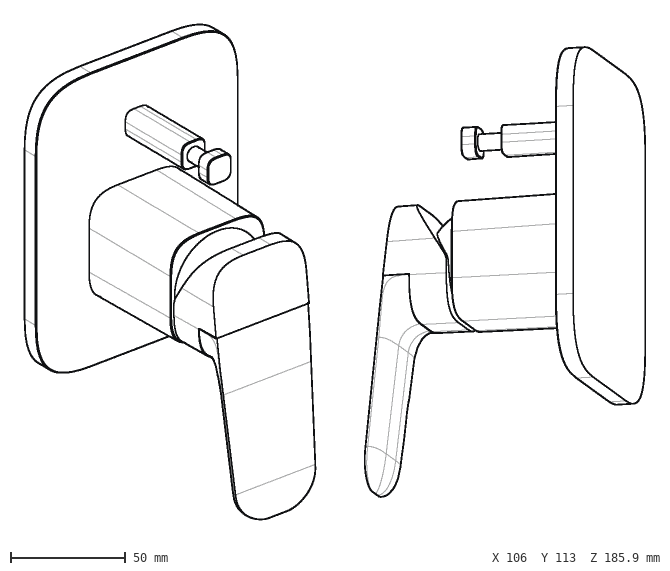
import cadquery as cq
import math


CORNER_PULL = 0.73

PLATE_THICKNESS = 8.0
PLATE_WIDTH = 113.0
PLATE_HEIGHT = 145.3
PLATE_CORNER = 30.8
PLATE_RISE = 14.5

BODY_END = 64.0
BODY_BASE_SIZE = 53.7
BODY_END_SIZE = 52.5
BODY_CORNER = 16.0
BALL_CENTRE = 55.8
BALL_RADIUS = 25.5

BUTTON_RISE = 54.8
BUTTON_SIZE = 13.2
BUTTON_CORNER = 4.8
SLEEVE_END = 47.2
STEM_DIAMETER = 7.5
HEAD_START = 58.5
HEAD_END = 65.2

HUB_START = 66.2
HUB_BACK_SIZE = 52.5
HUB_FRONT_SIZE = 51.7
HANDLE_FLAT = 14.9
HUB_SLANT_TOP = 83.0
HUB_SLANT_BOTTOM = -0.5
HUB_SLANT_BLEND = 7.5

LEVER_TIP_X = 106
LEVER_TIP_Z = -98.7
LEVER_LEAN = 6.8
LEVER_THICKNESS = 5.0
LEVER_EDGE = 1.0
LEVER_TOP_WIDTH = 49.0
LEVER_BOTTOM_WIDTH = 44.6
TIP_LENGTH = 16.7
TIP_FLAT = 11.2
TIP_EDGE = 0.5
TIP_SECTIONS = 7

BEND_RADIUS = 10.2
BEND_SECTIONS = 6

EDGE_BREAK = 0.4

lean = math.radians(LEVER_LEAN)
hub_front_half = HUB_FRONT_SIZE / 2
flat_half = HANDLE_FLAT / 2
hub_corner = hub_front_half - flat_half


def front_x(z):
    """X of the lever's front face at height z."""
    return LEVER_TIP_X - math.tan(lean) * (z - LEVER_TIP_Z)


bend_z = -hub_front_half - BEND_RADIUS
bend_x = front_x(bend_z) - (BEND_RADIUS + LEVER_THICKNESS) / math.cos(lean)
lever_angle = math.pi / 2 - lean
tip_back = BEND_RADIUS + LEVER_THICKNESS - TIP_EDGE
lever_length = (bend_z + tip_back * math.sin(lean) - LEVER_TIP_Z) / math.cos(lean)
blade_length = lever_length - TIP_LENGTH


def smooth_corner(sketch, start, corner, end):
    """Curve from start to end that leaves and arrives along the sides of the corner."""
    first = tuple(s + CORNER_PULL * (c - s) for s, c in zip(start, corner))
    second = tuple(e + CORNER_PULL * (c - e) for e, c in zip(end, corner))
    return sketch.bezier([start, first, second, end])


def smooth_rectangle(plane, width, height, corner):
    """Rectangle with smooth corners, centred on the plane's origin."""
    w = width / 2
    h = height / 2
    sketch = plane.moveTo(corner - w, -h).lineTo(w - corner, -h)
    sketch = smooth_corner(sketch, (w - corner, -h), (w, -h), (w, corner - h))
    sketch = sketch.lineTo(w, h - corner)
    sketch = smooth_corner(sketch, (w, h - corner), (w, h), (w - corner, h))
    sketch = sketch.lineTo(corner - w, h)
    sketch = smooth_corner(sketch, (corner - w, h), (-w, h), (-w, h - corner))
    sketch = sketch.lineTo(-w, corner - h)
    sketch = smooth_corner(sketch, (-w, corner - h), (-w, -h), (corner - w, -h))
    return sketch.close()


def wall_plane(x, z=0):
    """Plane parallel to the wall, with local axes Y and Z."""
    return cq.Workplane("YZ", origin=(x, 0, z))


def tapered_block(start, end, start_size, end_size, corner):
    """Square block with smooth corners, changing size along X."""
    sections = smooth_rectangle(wall_plane(start), start_size, start_size, corner)
    sections = sections.workplane(offset=end - start)
    return smooth_rectangle(sections, end_size, end_size, corner).loft(ruled=True)


def make_plate():
    plane = wall_plane(0, PLATE_RISE)
    plate = smooth_rectangle(plane, PLATE_WIDTH, PLATE_HEIGHT, PLATE_CORNER).extrude(PLATE_THICKNESS)
    return plate.faces(">X").chamfer(EDGE_BREAK)


def make_body():
    body = tapered_block(PLATE_THICKNESS, BODY_END, BODY_BASE_SIZE, BODY_END_SIZE, BODY_CORNER)
    body = body.faces(">X").chamfer(EDGE_BREAK)
    dome_radius = math.sqrt(BALL_RADIUS**2 - (BODY_END - BALL_CENTRE) ** 2)
    dome_tip = BALL_CENTRE + BALL_RADIUS
    middle = BALL_RADIUS * math.sqrt(0.5)
    dome = (
        cq.Workplane("XY")
        .moveTo(BODY_END, 0)
        .lineTo(BODY_END, dome_radius)
        .threePointArc((BALL_CENTRE + middle, middle), (dome_tip, 0))
        .close()
        .revolve(360, (0, 0, 0), (1, 0, 0))
    )
    return body.union(dome)


def button_block(start, end):
    plane = wall_plane(start, BUTTON_RISE)
    return smooth_rectangle(plane, BUTTON_SIZE, BUTTON_SIZE, BUTTON_CORNER).extrude(end - start)


def make_button():
    sleeve = button_block(PLATE_THICKNESS, SLEEVE_END).faces(">X").chamfer(EDGE_BREAK)
    stem = wall_plane(SLEEVE_END, BUTTON_RISE).circle(STEM_DIAMETER / 2).extrude(HEAD_START - SLEEVE_END)
    head = button_block(HEAD_START, HEAD_END).faces("<X or >X").chamfer(EDGE_BREAK)
    return sleeve.union(stem).union(head)


def make_hub():
    block = tapered_block(HUB_START, LEVER_TIP_X, HUB_BACK_SIZE, HUB_FRONT_SIZE, hub_corner)
    half = HUB_BACK_SIZE / 2
    side = (
        cq.Workplane("XZ")
        .moveTo(HUB_START, -half)
        .lineTo(HUB_START, HUB_SLANT_BOTTOM)
        .lineTo(HUB_SLANT_TOP, half)
        .lineTo(front_x(half), half)
        .lineTo(front_x(-flat_half), -flat_half)
        .lineTo(bend_x, -flat_half)
        .lineTo(bend_x, -half)
        .close()
        .extrude(HUB_BACK_SIZE, both=True)
    )
    slant_start = cq.selectors.NearestToPointSelector((HUB_START, 0, HUB_SLANT_BOTTOM))
    side = side.edges("|Y").edges(slant_start).fillet(HUB_SLANT_BLEND)
    return block.intersect(side)


def lever_section(angle, drop, depth, half_width, half_flat, corner, back=BEND_RADIUS):
    """Lever cross-section as a wire in the plane that turns about the bend centre.

    At angle 0 the section stands upright under the hub; at lever_angle it is square to the lever.
    Local x is Y and local y runs from the back (0) to the front (depth). Drop moves the section
    down along the lever, and back is the distance from the bend centre to the section's back.
    """
    outward = (math.sin(angle), math.cos(angle))
    along = (math.cos(angle), -math.sin(angle))
    origin_x = bend_x + back * outward[0] + drop * along[0]
    origin_z = bend_z + back * outward[1] + drop * along[1]
    plane = cq.Plane((origin_x, 0, origin_z), xDir=(0, 1, 0), normal=(along[0], 0, along[1]))
    w = half_width
    f = half_flat
    sketch = cq.Workplane(plane).moveTo(-f, 0).lineTo(f, 0)
    sketch = smooth_corner(sketch, (f, 0), (w, 0), (w, corner))
    sketch = sketch.lineTo(w, depth).lineTo(-w, depth).lineTo(-w, corner)
    sketch = smooth_corner(sketch, (-w, corner), (-w, 0), (-f, 0))
    return sketch.close().val()


def make_bend():
    """Sections fanned about the bend centre, from the hub's underside to the top of the lever."""
    sections = []
    for i in range(BEND_SECTIONS):
        share = i / (BEND_SECTIONS - 1)
        angle = share * lever_angle
        to_front = (BEND_RADIUS + LEVER_THICKNESS) / math.sin(angle + lean) - BEND_RADIUS
        depth = min(to_front, hub_front_half)
        half_width = hub_front_half + share * (LEVER_TOP_WIDTH / 2 - hub_front_half)
        corner = min(hub_corner, depth - LEVER_EDGE)
        sections.append(lever_section(angle, 0, depth, half_width, flat_half, corner))
    return cq.Workplane(cq.Solid.makeLoft(sections))


def make_blade():
    """Straight, slightly tapered stretch of the lever between the bend and the tip."""
    corner = LEVER_THICKNESS - LEVER_EDGE
    top = lever_section(lever_angle, 0, LEVER_THICKNESS, LEVER_TOP_WIDTH / 2, flat_half, corner)
    bottom = lever_section(
        lever_angle, blade_length, LEVER_THICKNESS, LEVER_BOTTOM_WIDTH / 2, flat_half, corner
    )
    return cq.Workplane(cq.Solid.makeLoft([top, bottom], True))


def make_tip():
    """Sections that shrink along a smooth corner in width and, from the back, in thickness."""
    sections = []
    for i in range(TIP_SECTIONS):
        t = i / (TIP_SECTIONS - 1)
        along = 3 * CORNER_PULL * t * (1 - t) ** 2 + 3 * t**2 * (1 - t) + t**3
        left = (1 - t) ** 3 + 3 * t * (1 - t) ** 2 + 3 * (1 - CORNER_PULL) * t**2 * (1 - t)
        depth = TIP_EDGE + left * (LEVER_THICKNESS - TIP_EDGE)
        half_width = (TIP_FLAT + left * (LEVER_BOTTOM_WIDTH - TIP_FLAT)) / 2
        half_flat = flat_half * half_width / (LEVER_BOTTOM_WIDTH / 2)
        corner = depth * (1 - LEVER_EDGE / LEVER_THICKNESS)
        drop = blade_length + along * TIP_LENGTH
        back = BEND_RADIUS + LEVER_THICKNESS - depth
        sections.append(lever_section(lever_angle, drop, depth, half_width, half_flat, corner, back))
    return cq.Workplane(cq.Solid.makeLoft(sections))


handle = make_hub().union(make_bend()).union(make_blade()).union(make_tip())
result = make_plate().union(make_body()).union(make_button()).union(handle)